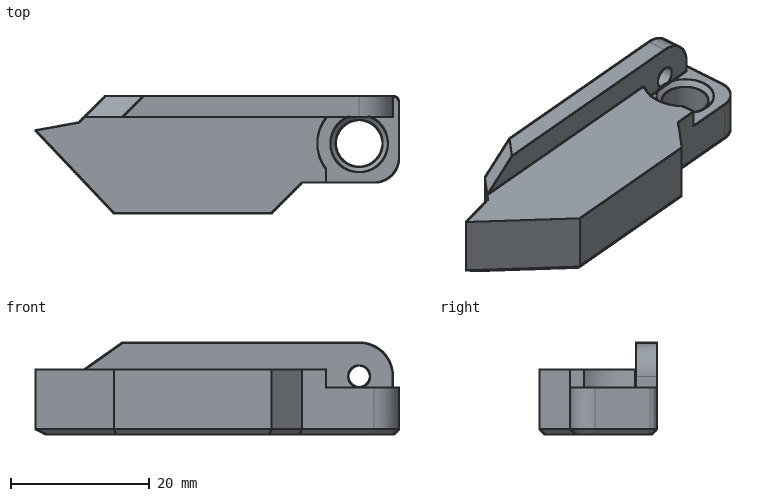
import cadquery as cq

length = 52.35
width = 16.9
height = 13.25

tip_y = 11.95
notch_x, notch_y = 6.3, 13.1
front_start_x = 11.3
front_end_x = 34.0
arm_step = 4.4
arm_corner_radius = 3.6
back_corner_radius = 1.0
bottom_chamfer = 0.8

deck_z = 9.35
seat_z = 6.8
rail_thickness = 3.05
rail_y = width - rail_thickness
rail_rise = height - deck_z

seat_x = 41.85
hole_x, hole_y = 46.6, 10.05
hole_diameter = 6.7
countersink = 0.8
clearance_radius = 6.0
lug_radius = 4.85
pin_diameter = 3.1
lug_end_x = hole_x + lug_radius
pin_z = height - lug_radius


def box_between(low, high):
    size = [b - a for a, b in zip(low, high)]
    return cq.Workplane("XY").box(*size, centered=False).translate(low)


def make_blank():
    """Full-height plan shape with rounded end corners and a chamfered underside."""
    outline = [
        (0, tip_y),
        (front_start_x, 0),
        (front_end_x, 0),
        (front_end_x + arm_step, arm_step),
        (length, arm_step),
        (length, width),
        (notch_x + width - notch_y, width),
        (notch_x, notch_y),
    ]
    blank = cq.Workplane("XY").polyline(outline).close().extrude(height)
    blank = blank.edges(cq.NearestToPointSelector((length, arm_step, height / 2))).fillet(arm_corner_radius)
    blank = blank.edges(cq.NearestToPointSelector((length, width, height / 2))).fillet(back_corner_radius)
    return blank.faces("<Z").chamfer(bottom_chamfer)


def slope_rail(body):
    """Bevel the rail end, parallel to the slanted end wall, down to the deck."""
    wall_mid_x = notch_x + (rail_y + width) / 2 - notch_y
    wall_mid_y = (rail_y + width) / 2
    edge = cq.NearestToPointSelector((wall_mid_x, wall_mid_y, height))
    return body.edges(edge).chamfer(rail_rise)


def make_seat_cut():
    """Lowered area around the screw, including the round clearance in the deck."""
    seat = box_between((seat_x, 0, seat_z), (length, rail_y, height))
    clearance = (
        cq.Workplane("XY", origin=(hole_x, hole_y, seat_z))
        .circle(clearance_radius)
        .extrude(height - seat_z)
    )
    in_front_of_rail = box_between((0, 0, seat_z), (length, rail_y, height))
    return seat.union(clearance.intersect(in_front_of_rail))


def make_screw_hole():
    """Through hole with a countersink at the seat."""
    radius = hole_diameter / 2
    profile = [
        (0, 0),
        (radius, 0),
        (radius, seat_z - countersink),
        (radius + countersink, seat_z),
        (0, seat_z),
    ]
    hole = cq.Workplane("XZ").polyline(profile).close().revolve(360, (0, 0, 0), (0, 1, 0))
    return hole.translate((hole_x, hole_y, 0))


def make_lug_end_cut():
    """Material above the seat outside the rounded lug end."""
    corner = box_between((hole_x, rail_y, seat_z), (length, width, height))
    lug = (
        cq.Workplane("XZ", origin=(0, width, 0))
        .moveTo(hole_x, seat_z)
        .lineTo(lug_end_x, seat_z)
        .lineTo(lug_end_x, pin_z)
        .radiusArc((hole_x, height), -lug_radius)
        .close()
        .extrude(rail_thickness)
    )
    return corner.cut(lug)


def make_pin_hole():
    return (
        cq.Workplane("XZ", origin=(hole_x, width, pin_z))
        .circle(pin_diameter / 2)
        .extrude(rail_thickness)
    )


body = make_blank()
body = body.cut(box_between((0, 0, deck_z), (length, rail_y, height)))
body = slope_rail(body)
body = body.cut(make_seat_cut())
body = body.cut(make_screw_hole())
body = body.cut(make_lug_end_cut())
result = body.cut(make_pin_hole())